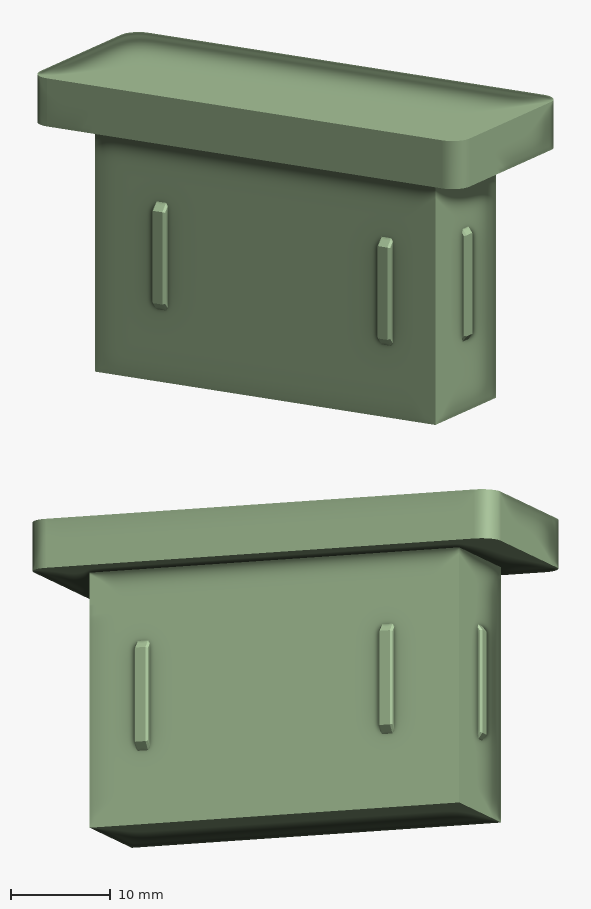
import cadquery as cq

cap_length = 50
cap_width = 20
cap_height = 5
cap_corner_radius = 2

total_height = 31
plug_length = 39.6
plug_width = 11.9
plug_height = total_height - cap_height

rib_width = 1.5
rib_edge_chamfer = 0.2
rib_embed = 0.5

side_rib_length = 11.2
side_rib_height = 0.75
side_rib_slope = 0.8
side_rib_z = -17.9
side_rib_positions = (-12.1, 14.1)

end_rib_length = 11.7
end_rib_height = 0.45
end_rib_slope = 0.6
end_rib_z = -17.75


def make_rib(length, height, slope):
    """Upright rib centred on the origin, rising from the YZ plane toward +X."""
    half_base = length / 2
    half_crest = half_base - slope
    half_root = half_base + slope * rib_embed / height
    profile = [
        (-rib_embed, -half_root),
        (height, -half_crest),
        (height, half_crest),
        (-rib_embed, half_root),
    ]
    rib = cq.Workplane("XZ").polyline(profile).close().extrude(rib_width / 2, both=True)
    flank_edges = rib.faces("<Y or >Y").edges("not <X")
    return flank_edges.chamfer(rib_edge_chamfer)


cap = (
    cq.Workplane("XY")
    .box(cap_length, cap_width, cap_height, centered=(True, True, False))
    .edges("|Z")
    .fillet(cap_corner_radius)
    .translate((0, 0, -cap_height))
)
plug = (
    cq.Workplane("XY")
    .box(plug_length, plug_width, plug_height, centered=(True, True, False))
    .translate((0, 0, -total_height))
)
result = cap.union(plug)

side_rib = make_rib(side_rib_length, side_rib_height, side_rib_slope)
for facing, angle in ((-1, -90), (1, 90)):
    turned_rib = side_rib.rotate((0, 0, 0), (0, 0, 1), angle)
    for x in side_rib_positions:
        result = result.union(turned_rib.translate((x, facing * plug_width / 2, side_rib_z)))

end_rib = make_rib(end_rib_length, end_rib_height, end_rib_slope)
for facing, angle in ((-1, 180), (1, 0)):
    turned_rib = end_rib.rotate((0, 0, 0), (0, 0, 1), angle)
    result = result.union(turned_rib.translate((facing * plug_length / 2, 0, end_rib_z)))